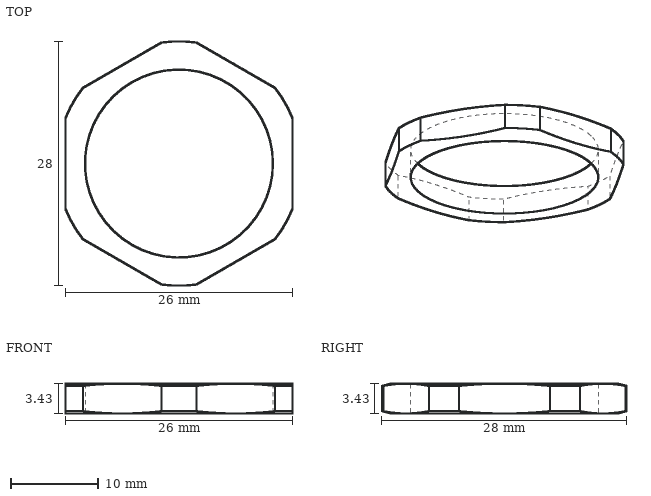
import cadquery as cq
import math

across_flats = 26.0
corner_diameter = 28.0
bore_diameter = 21.48
thickness = 3.43
face_diameter = 25.95
chamfer_angle = 15.0

side_count = 6
half_side_angle = 180 / side_count
across_corners = across_flats / math.cos(math.radians(half_side_angle))
corner_radius = corner_diameter / 2
face_radius = face_diameter / 2
chamfer_drop = (corner_radius - face_radius) * math.tan(math.radians(chamfer_angle))


def hexagon_prism():
    """Hexagonal blank with two flats facing -X and +X."""
    blank = cq.Workplane("XY").polygon(side_count, across_corners).extrude(thickness)
    return blank.rotate((0, 0, 0), (0, 0, 1), half_side_angle)


def turned_envelope():
    """Disc with conical chamfers at both ends that trims the hexagon corners."""
    return (
        cq.Workplane("XZ")
        .moveTo(0, 0)
        .lineTo(face_radius, 0)
        .lineTo(corner_radius, chamfer_drop)
        .lineTo(corner_radius, thickness - chamfer_drop)
        .lineTo(face_radius, thickness)
        .lineTo(0, thickness)
        .close()
        .revolve(360, (0, 0, 0), (0, 1, 0))
    )


def bore():
    """Plain through hole."""
    return cq.Workplane("XY").circle(bore_diameter / 2).extrude(thickness)


result = hexagon_prism().intersect(turned_envelope()).cut(bore())